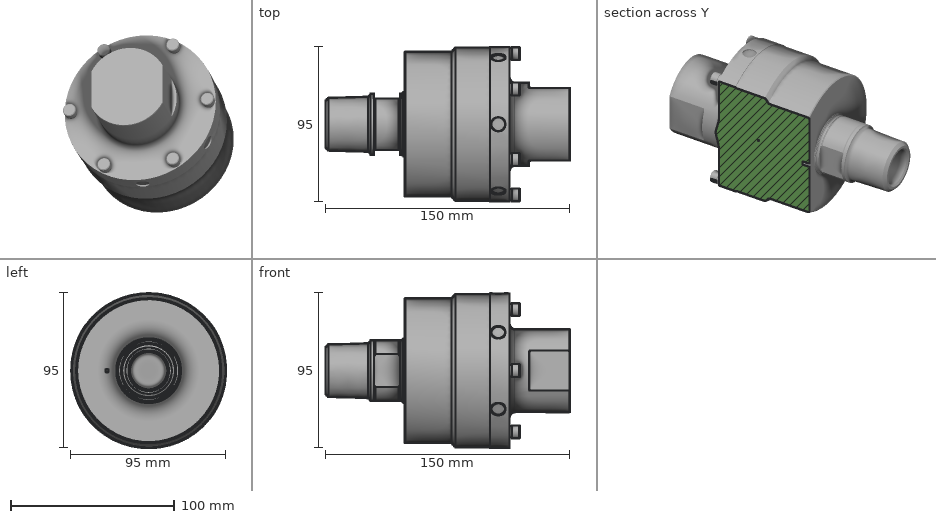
import cadquery as cq


nose_tip_radius = 14.2
nose_chamfer_length = 2.0
taper_start_radius = 16.25
taper_end_x = 26.3
taper_end_radius = 16.95
bore_radius = 23 / 2
bore_depth = 13.8
bore_mouth_chamfer = 1.0

collar_radius = 37.5 / 2
collar_start_x = 27.8
collar_blend_radius = 2.2
wrench_start_x = 29.8
wrench_end_x = 45.9
groove_floor_length = 0.4
groove_depth = 0.35
groove_wall_length = 0.5
groove_length = groove_floor_length + groove_wall_length
groove_radius = collar_radius - groove_depth
wrench_flat_width = 31.6

lip_start_x = 47.5
lip_step_length = 0.3
lip_lower_radius = 38.2 / 2
lip_upper_radius = 38.7 / 2
lip_radius = 39.7 / 2

housing_start_x = 48.5
housing_radius = 89 / 2
housing_chamfer = 0.6
shoulder_start_x = 77.4
shell_radius = 94.2 / 2
shoulder_end_x = shoulder_start_x + shell_radius - housing_radius
ring_start_x = 101.0
ring_end_x = 113.1
ring_radius = 95 / 2

total_length = 150.0
hub_radius = 51 / 2
hub_fillet = 3.1
hub_end_chamfer_length = 0.8
hub_end_chamfer_drop = 0.2
hub_flat_width = 44.7
hub_flat_start_x = 124.8
hub_flat_root_radius = 1.0

station_count = 6
station_angle = 360 / station_count
screw_circle_radius = 43.3
screw_neck_radius = 3.6
screw_neck_length = 1.5
screw_head_radius = 8 / 2
screw_head_end_x = 119.4
screw_head_chamfer = 0.5
socket_x = 106.1
socket_diameter = 8.6
socket_depth = 1.0

vent_diameter = 2.0
vent_y = 25.5
vent_depth = 5.0


def revolve_about_x(profile):
    return profile.close().revolve(360, (0, 0, 0), (1, 0, 0))


def turned_body():
    nose_and_collar = (
        cq.Workplane("XY")
        .moveTo(0, 0)
        .lineTo(0, nose_tip_radius)
        .lineTo(nose_chamfer_length, taper_start_radius)
        .lineTo(taper_end_x, taper_end_radius)
        .radiusArc((collar_start_x, collar_radius), -collar_blend_radius)
        .lineTo(wrench_start_x, collar_radius)
        .lineTo(wrench_start_x, groove_radius)
        .lineTo(wrench_start_x + groove_floor_length, groove_radius)
        .lineTo(wrench_start_x + groove_length, collar_radius)
        .lineTo(wrench_end_x - groove_length, collar_radius)
        .lineTo(wrench_end_x - groove_floor_length, groove_radius)
        .lineTo(wrench_end_x, groove_radius)
        .lineTo(wrench_end_x, collar_radius)
        .lineTo(lip_start_x, collar_radius)
    )
    housing = (
        nose_and_collar
        .lineTo(lip_start_x, lip_lower_radius)
        .lineTo(lip_start_x + lip_step_length, lip_lower_radius)
        .lineTo(lip_start_x + lip_step_length, lip_upper_radius)
        .lineTo(lip_start_x + 2 * lip_step_length, lip_upper_radius)
        .lineTo(lip_start_x + 2 * lip_step_length, lip_radius)
        .lineTo(housing_start_x, lip_radius)
        .lineTo(housing_start_x, housing_radius - housing_chamfer)
        .lineTo(housing_start_x + housing_chamfer, housing_radius)
        .lineTo(shoulder_start_x, housing_radius)
        .lineTo(shoulder_end_x, shell_radius)
        .lineTo(ring_start_x, shell_radius)
        .lineTo(ring_start_x, ring_radius)
        .lineTo(ring_end_x, ring_radius)
    )
    hub = (
        housing
        .lineTo(ring_end_x, hub_radius + hub_fillet)
        .radiusArc((ring_end_x + hub_fillet, hub_radius), -hub_fillet)
        .lineTo(total_length - hub_end_chamfer_length, hub_radius)
        .lineTo(total_length, hub_radius - hub_end_chamfer_drop)
        .lineTo(total_length, 0)
    )
    return revolve_about_x(hub)


def nose_bore():
    return revolve_about_x(
        cq.Workplane("XY")
        .moveTo(0, 0)
        .lineTo(0, bore_radius + bore_mouth_chamfer)
        .lineTo(bore_mouth_chamfer, bore_radius)
        .lineTo(bore_depth, bore_radius)
        .lineTo(bore_depth, 0)
    )


def flat_cutter(start_x, end_x, across_flats, outer_radius, side):
    """Block that cuts one wrench flat on the +Y (side = 1) or -Y (side = -1) side."""
    depth = outer_radius
    return cq.Workplane("XY").box(end_x - start_x, depth, 2 * outer_radius).translate(
        ((start_x + end_x) / 2, side * (across_flats + depth) / 2, 0)
    )


def cut_wrench_flats(body):
    for side in (1, -1):
        collar_flat = flat_cutter(wrench_start_x, wrench_end_x, wrench_flat_width, collar_radius, side)
        hub_flat = flat_cutter(hub_flat_start_x, total_length, hub_flat_width, hub_radius, side)
        inner_face = "<Y" if side > 0 else ">Y"
        hub_flat = hub_flat.faces(inner_face).edges("<X").fillet(hub_flat_root_radius)
        body = body.cut(collar_flat).cut(hub_flat)
    return body


def screw_head():
    head_start_x = ring_end_x + screw_neck_length
    neck = cq.Workplane("YZ", origin=(ring_end_x, 0, 0)).circle(screw_neck_radius).extrude(screw_neck_length)
    head = (
        cq.Workplane("YZ", origin=(head_start_x, 0, 0))
        .circle(screw_head_radius)
        .extrude(screw_head_end_x - head_start_x)
        .faces(">X")
        .chamfer(screw_head_chamfer)
    )
    return neck.union(head).translate((0, screw_circle_radius, 0))


def ring_socket():
    return (
        cq.Workplane("XY", origin=(socket_x, 0, ring_radius - socket_depth))
        .circle(socket_diameter / 2)
        .extrude(2 * socket_depth)
    )


def around_axis(shape, index):
    return shape.rotate((0, 0, 0), (1, 0, 0), index * station_angle)


def vent_hole():
    return (
        cq.Workplane("YZ", origin=(housing_start_x, vent_y, 0))
        .circle(vent_diameter / 2)
        .extrude(vent_depth)
    )


result = cut_wrench_flats(turned_body()).cut(nose_bore()).cut(vent_hole())
for station in range(station_count):
    result = result.union(around_axis(screw_head(), station))
    result = result.cut(around_axis(ring_socket(), station))